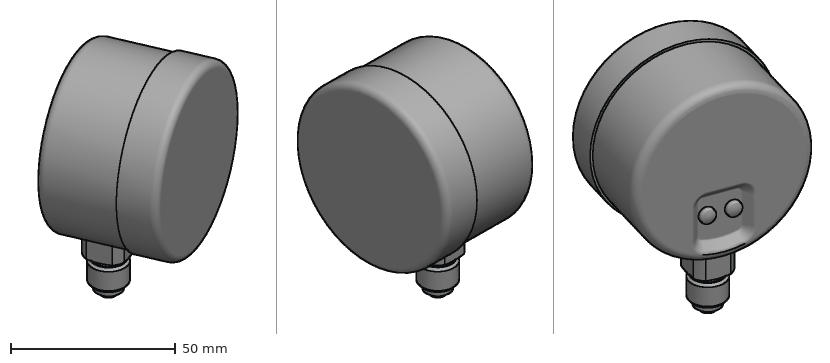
import cadquery as cq
import math


total_depth = 41.0
overall_height = 86.9
case_radius = 62.0 / 2
case_back_fillet = 3.0
bezel_radius = 63.8 / 2
bezel_length = 13.6
bezel_front_fillet = 2.5

recess_depth = 3.0
recess_wall_angle = 45.0
recess_half_width = 10.5
recess_top = -5.45
recess_bottom_radius = 27.6
recess_corner_radius = 4.7
recess_rim_fillet = 1.4
recess_floor_fillet = 0.7
tool_plate_thickness = 4.0
tool_plate_margin = 5.0
rim_tolerance = 0.1

pin_spacing = 9.0
pin_z = -15.05
pin_radius = 5.5 / 2
pin_height = 2.2
pin_dome_radius = 5.5
pin_edge_fillet = 0.7
pin_root = 0.5

stem_x = 11.0
block_width = 14.1
block_corner_radius = 16.5 / 2
block_bottom = -40.0
block_top = -26.0
block_chamfer_height = 0.35

neck_radius = 11.0 / 2
relief_radius = 11.3 / 2
thread_radius = 13.16 / 2
spigot_radius = 9.5 / 2
tip_radius = 5.0 / 2
relief_cone_end = -40.4
neck_end = -41.8
relief_land_end = -42.1
thread_start = -43.0
thread_end = -49.9
thread_chamfer_end = -51.0
spigot_end = -53.0
tip_end = bezel_radius - overall_height


def make_case():
    """Round case with a rounded back edge and a wider bezel ring in front."""
    case = cq.Workplane("YZ").circle(case_radius).extrude(total_depth - bezel_length)
    case = case.faces("<X").edges().fillet(case_back_fillet)
    bezel = (
        cq.Workplane("YZ")
        .workplane(offset=total_depth - bezel_length)
        .circle(bezel_radius)
        .extrude(bezel_length)
    )
    bezel = bezel.faces(">X").edges().fillet(bezel_front_fillet)
    return case.union(bezel)


def recess_section(inset, x):
    """Recess outline at depth x, moved inwards by inset, with rounded corners."""
    half_width = recess_half_width - inset
    top = recess_top - inset
    bottom_radius = recess_bottom_radius - inset
    corner_z = -math.sqrt(bottom_radius**2 - half_width**2)
    outline = (
        cq.Workplane("YZ")
        .workplane(offset=x)
        .moveTo(-half_width, top)
        .lineTo(half_width, top)
        .lineTo(half_width, corner_z)
        .threePointArc((0, -bottom_radius), (-half_width, corner_z))
        .close()
        .wire()
        .val()
    )
    return outline.fillet2D(recess_corner_radius - inset, outline.Vertices())


def make_recess_tool():
    """Tapered recess volume joined to a plate outside the back wall, so its rim flares."""
    floor_inset = recess_depth * math.tan(math.radians(recess_wall_angle))
    tapered = cq.Solid.makeLoft(
        [recess_section(0, 0), recess_section(floor_inset, recess_depth)], True
    )
    tapered = cq.Workplane(obj=tapered).faces(">X").edges().fillet(recess_floor_fillet)
    plate = (
        cq.Workplane("YZ")
        .circle(case_radius + tool_plate_margin)
        .extrude(-tool_plate_thickness)
    )
    tool = plate.union(tapered)
    rim_box = cq.selectors.BoxSelector(
        (-rim_tolerance, -case_radius, -case_radius),
        (rim_tolerance, case_radius, recess_top + rim_tolerance),
    )
    return tool.edges(rim_box).fillet(recess_rim_fillet)


def make_pin(y):
    """Domed pin, turned about an axis along -X and rooted in the recess floor."""
    dome_x = pin_dome_radius - pin_height
    mid_radius = pin_radius / 2
    mid_x = dome_x - math.sqrt(pin_dome_radius**2 - mid_radius**2)
    edge_x = dome_x - math.sqrt(pin_dome_radius**2 - pin_radius**2)
    pin = (
        cq.Workplane("XY")
        .moveTo(pin_root, 0)
        .lineTo(pin_root, pin_radius)
        .lineTo(edge_x, pin_radius)
        .threePointArc((mid_x, mid_radius), (-pin_height, 0))
        .close()
        .revolve(360, (0, 0, 0), (1, 0, 0))
    )
    dome_edge = cq.selectors.NearestToPointSelector((edge_x, 0, 0))
    pin = pin.edges(dome_edge).fillet(pin_edge_fillet)
    return pin.translate((recess_depth, y, pin_z))


def make_block():
    """Square wrench block whose corners are turned and chamfered underneath."""
    height = block_top - block_bottom
    block = cq.Workplane("XY").rect(block_width, block_width).extrude(height)
    turned = (
        cq.Workplane("XZ")
        .lineTo(block_width / 2, 0)
        .lineTo(block_corner_radius, block_chamfer_height)
        .lineTo(block_corner_radius, height)
        .lineTo(0, height)
        .close()
        .revolve(360, (0, 0, 0), (0, 1, 0))
    )
    return block.intersect(turned).translate((stem_x, 0, block_bottom))


def make_connection():
    """Turned stem: relief neck, thread body, spigot and tip."""
    profile = (
        cq.Workplane("XZ")
        .moveTo(0, block_top)
        .lineTo(relief_radius, block_top)
        .lineTo(relief_radius, block_bottom)
        .lineTo(neck_radius, relief_cone_end)
        .lineTo(neck_radius, neck_end)
        .lineTo(relief_radius, neck_end)
        .lineTo(relief_radius, relief_land_end)
        .lineTo(thread_radius, thread_start)
        .lineTo(thread_radius, thread_end)
        .lineTo(relief_radius, thread_chamfer_end)
        .lineTo(spigot_radius, thread_chamfer_end)
        .lineTo(spigot_radius, spigot_end)
        .lineTo(tip_radius, spigot_end)
        .lineTo(tip_radius, tip_end)
        .lineTo(0, tip_end)
        .close()
    )
    stem = profile.revolve(360, (0, 0, 0), (0, 1, 0))
    return stem.translate((stem_x, 0, 0))


result = make_case().union(make_block()).union(make_connection())
result = result.cut(make_recess_tool())
for side in (-1, 1):
    result = result.union(make_pin(side * pin_spacing / 2))